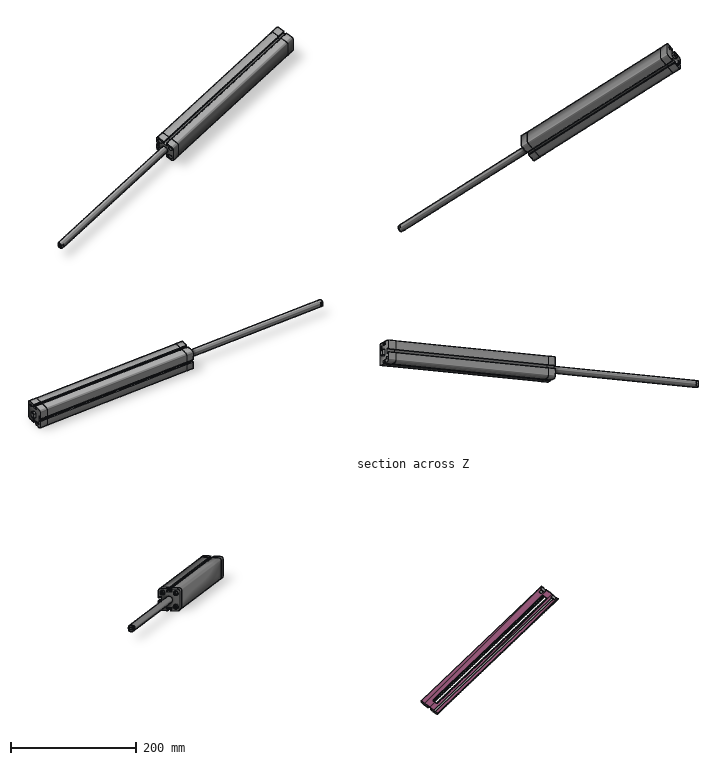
import cadquery as cq

TOTAL_LENGTH = 547.0
BODY_LENGTH = 289.0
REAR_STUB_LENGTH = 4.5

CAP_SIDE = 36.0
BARREL_SIDE = 35.5
REAR_CAP_LENGTH = 13.0
FRONT_CAP_LENGTH = 12.0
CAP_CORNER_RADIUS = 4.65
BARREL_CORNER_RADIUS = 4.1

SLOT_MOUTH = 5.0
SLOT_LIP = 3.0
SLOT_WIDTH = 9.0
SLOT_DEPTH = 5.5
SLOT_ANGLES = (0, 180, 270)

HOLE_OFFSET = 11.0
BORE_DEPTH = 5.5
THROUGH_BORE_DIAMETER = 7.5
THROUGH_DIAMETER = 4.15
BLIND_BORE_DIAMETER = 8.0
BLIND_DIAMETER = 5.25
BLIND_DEPTH = 11.0

ROD_DIAMETER = 11.5
ROD_END_DIAMETER = 10.0
FLATS_ACROSS = 7.5
FLATS_LENGTH = 4.5
ROD_HOLE_DIAMETER = 4.15
ROD_HOLE_DEPTH = 11.0
ROD_HOLE_MOUTH = 5.25

rod_front = -TOTAL_LENGTH / 2
rod_rear = TOTAL_LENGTH / 2
body_rear = rod_rear - REAR_STUB_LENGTH
body_front = body_rear - BODY_LENGTH
barrel_rear = body_rear - REAR_CAP_LENGTH
barrel_front = body_front + FRONT_CAP_LENGTH


def plane_at(y):
    """XZ plane at station y with its normal along +Y."""
    return cq.Workplane(cq.Plane(origin=(0, y, 0), xDir=(-1, 0, 0), normal=(0, 1, 0)))


def cylinder(start, end, diameter, x=0, z=0):
    return plane_at(start).circle(diameter / 2).extrude(end - start).translate((x, 0, z))


def t_slot(start, end, side, angle):
    """T-shaped bar in the +Z face, turned about Y to the chosen face."""
    half = side / 2
    right = [
        (SLOT_MOUTH / 2, half),
        (SLOT_MOUTH / 2, half - SLOT_LIP),
        (SLOT_WIDTH / 2, half - SLOT_LIP),
        (SLOT_WIDTH / 2, half - SLOT_DEPTH),
    ]
    left = [(-x, z) for x, z in reversed(right)]
    slot = plane_at(start).polyline(right + left).close().extrude(end - start)
    return slot.rotate((0, 0, 0), (0, 1, 0), angle)


def slotted_block(start, end, side, corner_radius):
    block = plane_at(start).rect(side, side).extrude(end - start)
    block = block.edges("|Y").fillet(corner_radius)
    for angle in SLOT_ANGLES:
        block = block.cut(t_slot(start, end, side, angle))
    return block


def make_body():
    body = slotted_block(body_front, barrel_front, CAP_SIDE, CAP_CORNER_RADIUS)
    body = body.union(slotted_block(barrel_front, barrel_rear, BARREL_SIDE, BARREL_CORNER_RADIUS))
    return body.union(slotted_block(barrel_rear, body_rear, CAP_SIDE, CAP_CORNER_RADIUS))


def counterbored_hole(x, z, bore_diameter, hole_diameter, hole_end):
    bore = cylinder(body_front, body_front + BORE_DEPTH, bore_diameter, x, z)
    return bore.union(cylinder(body_front, hole_end, hole_diameter, x, z))


def wrench_flats(start):
    blank = plane_at(start).rect(2 * ROD_DIAMETER, 2 * ROD_DIAMETER).extrude(FLATS_LENGTH)
    return blank.cut(plane_at(start).rect(FLATS_ACROSS, 2 * ROD_DIAMETER).extrude(FLATS_LENGTH))


def make_rod():
    rod = cylinder(rod_front, rod_rear, ROD_DIAMETER)
    end_chamfer = (ROD_DIAMETER - ROD_END_DIAMETER) / 2
    rod = rod.edges("%CIRCLE").chamfer(end_chamfer)
    rod = rod.cut(wrench_flats(rod_front))
    rod = rod.cut(wrench_flats(rod_rear - FLATS_LENGTH))
    rod = rod.cut(cylinder(rod_front, rod_front + ROD_HOLE_DEPTH, ROD_HOLE_DIAMETER))
    mouth_depth = (ROD_HOLE_MOUTH - ROD_HOLE_DIAMETER) / 2
    mouth = plane_at(rod_front).circle(ROD_HOLE_MOUTH / 2).extrude(mouth_depth, taper=45)
    return rod.cut(mouth)


result = make_body()
for sign in (-1, 1):
    x = sign * HOLE_OFFSET
    through = counterbored_hole(x, x, THROUGH_BORE_DIAMETER, THROUGH_DIAMETER, body_rear)
    blind = counterbored_hole(x, -x, BLIND_BORE_DIAMETER, BLIND_DIAMETER, body_front + BLIND_DEPTH)
    result = result.cut(through).cut(blind)
result = result.union(make_rod())